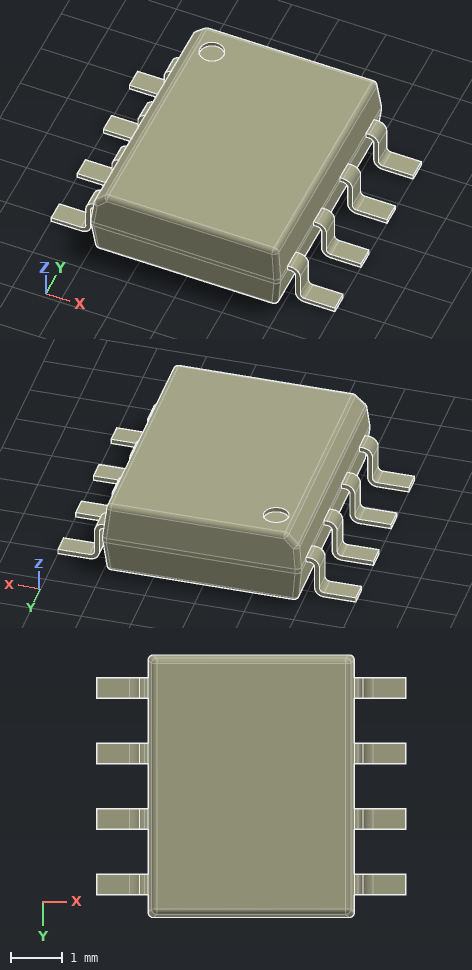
import cadquery as cq
import math

BODY_LENGTH_X = 4.0
BODY_LENGTH_Y = 5.1
TOP_Z = 1.6
STANDOFF = 0.05
SIDE_DRAFT = 6.0
EDGE_RADIUS = 0.1

BEVEL_INSET = 0.3
BEVEL_ANGLE = 45.0

DIMPLE_DIAMETER = 0.5
DIMPLE_X = -1.33
DIMPLE_Y = 1.885
DIMPLE_DEPTH = 0.1

LEADS_PER_SIDE = 4
LEAD_PITCH = 1.27
LEAD_WIDTH = 0.4
LEAD_THICKNESS = 0.1
LEAD_BEND_RADIUS = 0.095
LEAD_TIP_X = 3.0
FOOT_LENGTH = 0.635

BODY_MID_Z = (TOP_Z + STANDOFF) / 2
BAND_BOTTOM_Z = BODY_MID_Z - LEAD_THICKNESS / 2
BAND_TOP_Z = BODY_MID_Z + LEAD_THICKNESS / 2
BODY_SIDE_X = BODY_LENGTH_X / 2


def body_block(start_z, height, draft=0.0):
    """Rectangular block from start_z; a negative height goes down and draft narrows its far end."""
    return (
        cq.Workplane("XY")
        .workplane(offset=start_z)
        .rect(BODY_LENGTH_X, BODY_LENGTH_Y)
        .extrude(height, taper=draft)
    )


def make_bevel_cutter():
    """Triangular prism that removes the top edge on the -X side."""
    drop = BEVEL_INSET * math.tan(math.radians(BEVEL_ANGLE))
    return (
        cq.Workplane("XZ")
        .moveTo(-BODY_SIDE_X, TOP_Z - drop)
        .lineTo(-BODY_SIDE_X + BEVEL_INSET, TOP_Z)
        .lineTo(-BODY_SIDE_X, TOP_Z)
        .close()
        .extrude(BODY_LENGTH_Y / 2, both=True)
    )


def is_band_border(edge):
    """True for the horizontal edges where the drafted sides meet the middle band."""
    box = edge.BoundingBox()
    is_level = box.zlen < LEAD_THICKNESS / 2
    return is_level and abs(edge.Center().z - BODY_MID_Z) < LEAD_THICKNESS


def make_housing():
    """Drafted body with a bevelled top edge, rounded edges and a pin 1 dimple."""
    block = body_block(BAND_BOTTOM_Z, LEAD_THICKNESS)
    block = block.union(body_block(BAND_TOP_Z, TOP_Z - BAND_TOP_Z, SIDE_DRAFT))
    block = block.union(body_block(BAND_BOTTOM_Z, STANDOFF - BAND_BOTTOM_Z, SIDE_DRAFT))
    block = block.cut(make_bevel_cutter())

    rounded_edges = [edge for edge in block.edges().vals() if not is_band_border(edge)]
    block = block.newObject(rounded_edges).fillet(EDGE_RADIUS)

    dimple = (
        cq.Workplane("XY")
        .workplane(offset=TOP_Z - DIMPLE_DEPTH)
        .center(DIMPLE_X, DIMPLE_Y)
        .circle(DIMPLE_DIAMETER / 2)
        .extrude(DIMPLE_DEPTH)
    )
    return block.cut(dimple)


def make_lead(y):
    """Gull-wing lead on the +X side, centred on y, from the body side to the foot tip."""
    inner_radius = LEAD_BEND_RADIUS
    outer_radius = LEAD_BEND_RADIUS + LEAD_THICKNESS
    foot_bend_x = LEAD_TIP_X - FOOT_LENGTH
    leg_outer_x = foot_bend_x - inner_radius
    leg_inner_x = leg_outer_x - LEAD_THICKNESS
    shoulder_bend_x = leg_outer_x - outer_radius
    foot_bend_z = outer_radius
    shoulder_bend_z = BAND_TOP_Z - outer_radius
    diagonal = math.sqrt(0.5)

    def shoulder_mid(radius):
        return (shoulder_bend_x + radius * diagonal, shoulder_bend_z + radius * diagonal)

    def foot_mid(radius):
        return (foot_bend_x - radius * diagonal, foot_bend_z - radius * diagonal)

    return (
        cq.Workplane("XZ", origin=(0, y, 0))
        .moveTo(BODY_SIDE_X, BAND_TOP_Z)
        .lineTo(shoulder_bend_x, BAND_TOP_Z)
        .threePointArc(shoulder_mid(outer_radius), (leg_outer_x, shoulder_bend_z))
        .lineTo(leg_outer_x, foot_bend_z)
        .threePointArc(foot_mid(inner_radius), (foot_bend_x, LEAD_THICKNESS))
        .lineTo(LEAD_TIP_X, LEAD_THICKNESS)
        .lineTo(LEAD_TIP_X, 0)
        .lineTo(foot_bend_x, 0)
        .threePointArc(foot_mid(outer_radius), (leg_inner_x, foot_bend_z))
        .lineTo(leg_inner_x, shoulder_bend_z)
        .threePointArc(shoulder_mid(inner_radius), (shoulder_bend_x, BAND_BOTTOM_Z))
        .lineTo(BODY_SIDE_X, BAND_BOTTOM_Z)
        .close()
        .extrude(LEAD_WIDTH / 2, both=True)
    )


housing = make_housing()

leads = []
for index in range(LEADS_PER_SIDE):
    lead_y = (index - (LEADS_PER_SIDE - 1) / 2) * LEAD_PITCH
    lead = make_lead(lead_y)
    leads.append(lead.val())
    leads.append(lead.mirror("YZ").val())

result = cq.Compound.makeCompound([housing.val(), *leads])